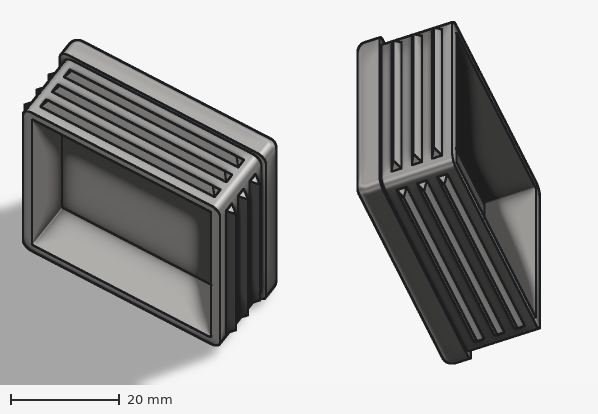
import cadquery as cq

rib_span = 46.15
total_depth = 19.0
cap_size = 45.0
cap_depth = 5.0
plug_size = 43.0
corner_radius = 2.0
wall = 2.0
cavity_corner_radius = 0.4
cavity_depth = 10.15

rib_count = 3
rib_pitch = 4.0
first_rib_y = 3.0
rib_width = 2.0
rib_base_length = 37.97
rib_ridge_length = 36.0

overlap = wall / 2
plug_depth = total_depth - cap_depth


def rounded_block(size, start_y, depth, radius):
    """Square block with rounded corners, running along +Y from start_y."""
    block = cq.Workplane("XZ", origin=(0, start_y, 0)).rect(size, size).extrude(-depth)
    return block.edges("|Y").fillet(radius)


def top_rib(ridge_y):
    """Triangular rib along X on the +Z wall, with both ends sloping in to the ridge."""
    root_z = plug_size / 2 - overlap
    base_z = plug_size / 2
    ridge_z = rib_span / 2
    profile = [
        (ridge_y - rib_width / 2, root_z),
        (ridge_y - rib_width / 2, base_z),
        (ridge_y, ridge_z),
        (ridge_y + rib_width / 2, base_z),
        (ridge_y + rib_width / 2, root_z),
    ]
    prism = cq.Workplane("YZ").polyline(profile).close().extrude(rib_base_length / 2, both=True)
    side = [
        (-rib_base_length / 2, root_z),
        (-rib_base_length / 2, base_z),
        (-rib_ridge_length / 2, ridge_z),
        (rib_ridge_length / 2, ridge_z),
        (rib_base_length / 2, base_z),
        (rib_base_length / 2, root_z),
    ]
    envelope = cq.Workplane("XZ").polyline(side).close().extrude(total_depth, both=True)
    return prism.intersect(envelope)


cap = cq.Workplane("XZ", origin=(0, plug_depth, 0)).rect(cap_size, cap_size).extrude(-cap_depth)
cap = cap.edges("|Y or >Y").fillet(corner_radius)

plug = rounded_block(plug_size, 0, plug_depth + overlap, corner_radius)
cavity = rounded_block(plug_size - 2 * wall, 0, cavity_depth, cavity_corner_radius)
result = cap.union(plug).cut(cavity)

for index in range(rib_count):
    rib = top_rib(first_rib_y + index * rib_pitch)
    for quarter_turn in range(4):
        result = result.union(rib.rotate((0, 0, 0), (0, 1, 0), 90 * quarter_turn))